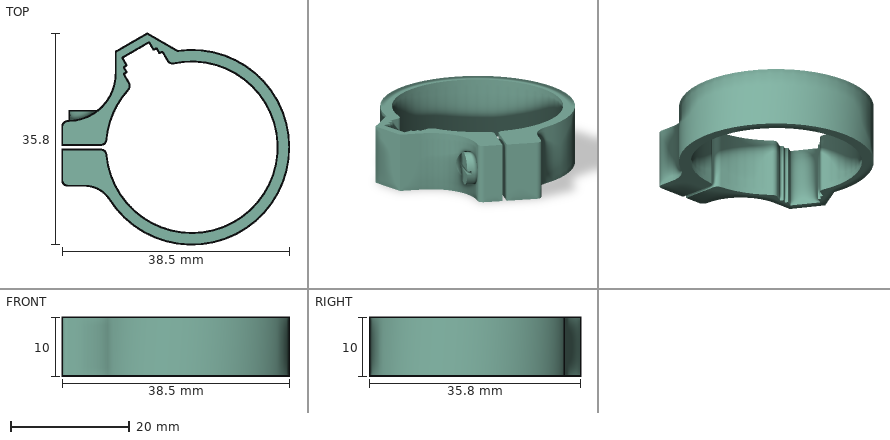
import cadquery as cq
import math

outer_radius = 16.5
bore_radius = 14.5
height = 10.0

lug_end_x = outer_radius - 38.5
gap_width = 0.75
upper_lug_y = 4.45
lower_lug_y = -6.55
corner_radius = 1.0
upper_sweep_radius = 8.0
lower_sweep_radius = 5.0

housing_angle = 120.0
housing_roof_distance = 20.5
housing_width = 6.2
flank_angle = math.radians(60.0)

pocket_roof_distance = 19.0
pocket_width = 5.25
step_offset = 0.58
step_depths = (1.5, 2.5)
pocket_mouth_distance = 11.55

head_diameter = 5.5
head_height = 1.75
recess_diameter = 5.8
screw_x = -18.05
slot_width = 0.58
slot_depth = 0.77

axis = math.radians(housing_angle)


def housing_point(distance, offset):
    """Point at a distance along the housing axis and an offset to its right."""
    x = distance * math.cos(axis) + offset * math.sin(axis)
    y = distance * math.sin(axis) - offset * math.cos(axis)
    return x, y


def arc_middle(center, radius, degrees):
    """Point on a circle at the given angle."""
    angle = math.radians(degrees)
    return center[0] + radius * math.cos(angle), center[1] + radius * math.sin(angle)


def make_upper_arm():
    """Upper lug, its concave sweep and the peaked housing."""
    left_corner = housing_point(housing_roof_distance, -housing_width / 2)
    peak = housing_point(housing_roof_distance, housing_width / 2)
    wall_x = left_corner[0]
    sweep_center = (wall_x - upper_sweep_radius, upper_lug_y + upper_sweep_radius)
    corner_center = (lug_end_x + corner_radius, upper_lug_y - corner_radius)
    normal = (math.cos(flank_angle), math.sin(flank_angle))
    flank_distance = peak[0] * normal[0] + peak[1] * normal[1]
    flank_end = (flank_distance * normal[0], flank_distance * normal[1])
    return (
        cq.Workplane("XY")
        .moveTo(0, 0)
        .lineTo(lug_end_x, 0)
        .lineTo(lug_end_x, corner_center[1])
        .threePointArc(arc_middle(corner_center, corner_radius, 135), (corner_center[0], upper_lug_y))
        .lineTo(sweep_center[0], upper_lug_y)
        .threePointArc(arc_middle(sweep_center, upper_sweep_radius, -45), (wall_x, sweep_center[1]))
        .lineTo(*left_corner)
        .lineTo(*peak)
        .lineTo(*flank_end)
        .close()
        .extrude(height)
    )


def make_lower_arm():
    """Lower lug with a concave sweep tangent to the ring."""
    center_distance = outer_radius + lower_sweep_radius
    sweep_y = lower_lug_y - lower_sweep_radius
    sweep_center = (-math.sqrt(center_distance**2 - sweep_y**2), sweep_y)
    ring_ratio = outer_radius / center_distance
    ring_tangent = (sweep_center[0] * ring_ratio, sweep_y * ring_ratio)
    ring_direction = math.degrees(math.atan2(-sweep_y, -sweep_center[0]))
    sweep_middle = arc_middle(sweep_center, lower_sweep_radius, (90 + ring_direction) / 2)
    corner_center = (lug_end_x + corner_radius, lower_lug_y + corner_radius)
    return (
        cq.Workplane("XY")
        .moveTo(0, 0)
        .lineTo(lug_end_x, 0)
        .lineTo(lug_end_x, corner_center[1])
        .threePointArc(arc_middle(corner_center, corner_radius, 225), (corner_center[0], lower_lug_y))
        .lineTo(sweep_center[0], lower_lug_y)
        .threePointArc(sweep_middle, ring_tangent)
        .close()
        .extrude(height)
    )


def make_pocket():
    """Pocket that widens by one step on both sides at each step depth."""
    distances = [pocket_roof_distance]
    distances += [pocket_roof_distance - depth for depth in step_depths]
    distances.append(pocket_mouth_distance)
    half_width = pocket_width / 2
    right_side = []
    for start, end in zip(distances, distances[1:]):
        right_side += [(start, half_width), (end, half_width)]
        half_width += step_offset
    left_side = [(distance, -offset) for distance, offset in reversed(right_side)]
    outline = [housing_point(*point) for point in right_side + left_side]
    return cq.Workplane("XY").polyline(outline).close().extrude(height)


def cylinder_along_y(diameter, length):
    """Cylinder on the screw axis, rising in +Y from the recess floor."""
    center = cq.Vector(screw_x, upper_lug_y, height / 2)
    return cq.Workplane(cq.Solid.makeCylinder(diameter / 2, length, center, cq.Vector(0, 1, 0)))


def make_screw_head():
    """Flat cylindrical head with a slot along X."""
    slot = cq.Workplane("XY").box(head_diameter, 2 * slot_depth, slot_width)
    slot = slot.translate((screw_x, upper_lug_y + head_height, height / 2))
    return cylinder_along_y(head_diameter, head_height).cut(slot)


def round_bore_corner(body, x, y):
    """Round the vertical edge nearest to the given place."""
    nearest = cq.selectors.NearestToPointSelector((x, y, height / 2))
    return body.edges("|Z").edges(nearest).fillet(corner_radius)


body = cq.Workplane("XY").circle(outer_radius).extrude(height)
housing_wall_x = housing_point(housing_roof_distance, -housing_width / 2)[0]
sweep_zone = cq.Workplane("XY").moveTo(housing_wall_x, 0).lineTo(lug_end_x, 0)
sweep_zone = sweep_zone.lineTo(lug_end_x, outer_radius).lineTo(housing_wall_x, outer_radius)
body = body.cut(sweep_zone.close().extrude(height))
body = body.union(make_upper_arm()).union(make_lower_arm())
body = body.cut(cq.Workplane("XY").circle(bore_radius).extrude(height))
body = body.cut(make_pocket())

gap_length = -lug_end_x
gap = cq.Workplane("XY").box(gap_length, gap_width, height, centered=(False, True, False))
body = body.cut(gap.translate((lug_end_x, 0, 0)))

for side in (-1, 1):
    gap_y = side * gap_width / 2
    body = round_bore_corner(body, -math.sqrt(bore_radius**2 - gap_y**2), gap_y)
    mouth_offset = side * (pocket_width / 2 + len(step_depths) * step_offset)
    mouth_distance = math.sqrt(bore_radius**2 - mouth_offset**2)
    body = round_bore_corner(body, *housing_point(mouth_distance, mouth_offset))

body = body.cut(cylinder_along_y(recess_diameter, upper_sweep_radius))
result = body.union(make_screw_head())